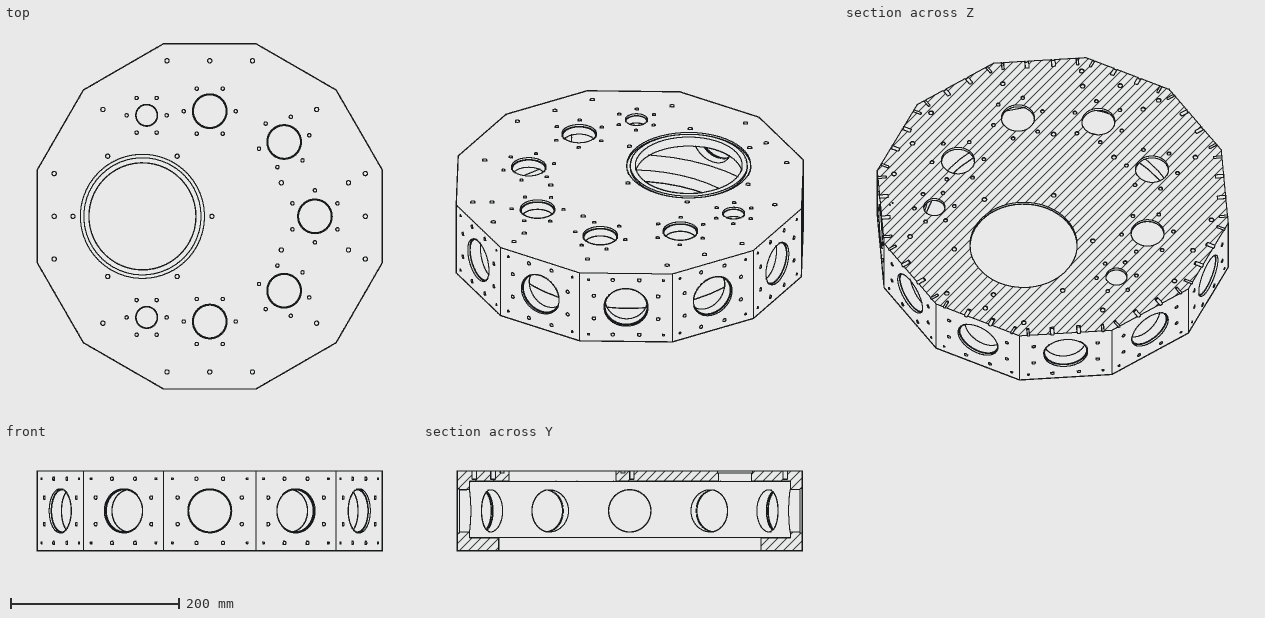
import cadquery as cq
import math

SIDES = 12
FLAT_TO_FLAT = 410.52
HEIGHT = 95.25
SIDE_PITCH = 360 / SIDES
APOTHEM = FLAT_TO_FLAT / 2
TOP_Z = HEIGHT / 2
BOTTOM_Z = -HEIGHT / 2

CAVITY_D = 381
LID = 12.7
FLOOR = 15.875
FLOOR_OPENING_D = 311.63

SCREW_DEPTH = 10
MOUTH_DEPTH = 2.7

WINDOW_D = 50.04
WINDOW_MOUTH_D = 52.32
WINDOW_HOLE_D = 4.04
WINDOW_HOLE_COUNT = 8
WINDOW_HOLE_CIRCLE_R = 41.28
CORNER_HOLE_D = 2.26
CORNER_HOLE_X = 44.45
CORNER_HOLE_Z = 38.1

PORT_ANGLES = (-90, -45, 0, 45, 90)
PORT_CENTER_R = 125
PORT_D = 38.86
PORT_MOUTH_D = 41.2
PORT_HOLE_CIRCLE_R = 30.9
SMALL_PORT_X = -75
SMALL_PORT_Y = 120.1
SMALL_PORT_D = 24.89
SMALL_PORT_MOUTH_D = 26.2
SMALL_PORT_HOLE_CIRCLE_R = 23.8
PORT_HOLE_D = 4.04
PORT_HOLE_COUNT = 6

MAIN_X = -80
MAIN_D = 127
GROOVE_INNER_D = 139.29
GROOVE_OUTER_D = 147.62
GROOVE_DEPTH = 2.54
MAIN_HOLE_CIRCLE_R = 82.55
MAIN_HOLE_COUNT = 6
MAIN_HOLE_D = 5

RIM_HOLE_D = 5.11
RIM_HOLE_OFFSET = 184.9
RIM_HOLE_SPACING = 50.8
RIM_DIAGONAL_R = 179.6
RIM_DIAGONAL_COUNT = 4
MOUNT_HALF_SPACING = 39.9


def ring_points(center_x, center_y, radius, count, start_angle):
    """Evenly spaced points on a circle."""
    points = []
    for index in range(count):
        angle = math.radians(start_angle + index * 360 / count)
        points.append((center_x + radius * math.cos(angle), center_y + radius * math.sin(angle)))
    return points


def corner_points(center_x, half_width, half_height):
    """Corners of a rectangle centred on the first axis."""
    points = []
    for side_x in (-1, 1):
        for side_y in (-1, 1):
            points.append((center_x + side_x * half_width, side_y * half_height))
    return points


def top_holes(points, diameter, depth):
    """Round holes going down from the top face."""
    plane = cq.Workplane("XY", origin=(0, 0, TOP_Z))
    return plane.pushPoints(points).circle(diameter / 2).extrude(-depth)


def stepped_bore(plane, bore_d, mouth_d, depth):
    """Bore along the inward normal of a plane, with a wider counterbore at its mouth."""
    bore = plane.circle(bore_d / 2).extrude(-depth)
    mouth = plane.circle(mouth_d / 2).extrude(-MOUTH_DEPTH)
    return bore.union(mouth)


def hollow_body():
    corner_to_corner = FLAT_TO_FLAT / math.cos(math.pi / SIDES)
    body_plane = cq.Workplane("XY", origin=(0, 0, BOTTOM_Z)).transformed(rotate=(0, 0, SIDE_PITCH / 2))
    body = body_plane.polygon(SIDES, corner_to_corner).extrude(HEIGHT)
    cavity_height = HEIGHT - LID - FLOOR
    cavity_plane = cq.Workplane("XY", origin=(0, 0, BOTTOM_Z + FLOOR))
    cavity = cavity_plane.circle(CAVITY_D / 2).extrude(cavity_height)
    opening_plane = cq.Workplane("XY", origin=(0, 0, BOTTOM_Z))
    opening = opening_plane.circle(FLOOR_OPENING_D / 2).extrude(FLOOR)
    return body.cut(cavity).cut(opening)


def side_cut(angle):
    """Window and screw holes of the side facing the given direction."""
    direction = math.radians(angle)
    normal = (math.cos(direction), math.sin(direction), 0)
    along = (-math.sin(direction), math.cos(direction), 0)
    origin = (APOTHEM * normal[0], APOTHEM * normal[1], 0)
    face = cq.Workplane(cq.Plane(origin=origin, xDir=along, normal=normal))
    screws = ring_points(0, 0, WINDOW_HOLE_CIRCLE_R, WINDOW_HOLE_COUNT, 180 / WINDOW_HOLE_COUNT)
    corners = corner_points(0, CORNER_HOLE_X, CORNER_HOLE_Z)
    window_depth = APOTHEM - FLOOR_OPENING_D / 2
    window = stepped_bore(face, WINDOW_D, WINDOW_MOUTH_D, window_depth)
    screw_holes = face.pushPoints(screws).circle(WINDOW_HOLE_D / 2).extrude(-SCREW_DEPTH)
    corner_holes = face.pushPoints(corners).circle(CORNER_HOLE_D / 2).extrude(-SCREW_DEPTH)
    return window.add(screw_holes).add(corner_holes).combine()


def port_cut(x, y, bore_d, mouth_d, circle_r, start_angle):
    """Lid port with its ring of screw holes."""
    plane = cq.Workplane("XY", origin=(x, y, TOP_Z))
    bore = stepped_bore(plane, bore_d, mouth_d, LID)
    points = ring_points(x, y, circle_r, PORT_HOLE_COUNT, start_angle)
    return bore.add(top_holes(points, PORT_HOLE_D, SCREW_DEPTH)).combine()


def large_port_cut(angle):
    x = PORT_CENTER_R * math.cos(math.radians(angle))
    y = PORT_CENTER_R * math.sin(math.radians(angle))
    first_hole = angle + 180 / PORT_HOLE_COUNT
    return port_cut(x, y, PORT_D, PORT_MOUTH_D, PORT_HOLE_CIRCLE_R, first_hole)


def small_port_cut(y):
    mouth_d = SMALL_PORT_MOUTH_D
    return port_cut(SMALL_PORT_X, y, SMALL_PORT_D, mouth_d, SMALL_PORT_HOLE_CIRCLE_R, 0)


def main_opening_cut():
    bore = top_holes([(MAIN_X, 0)], MAIN_D, LID)
    groove = top_holes([(MAIN_X, 0)], GROOVE_OUTER_D, GROOVE_DEPTH)
    groove = groove.cut(top_holes([(MAIN_X, 0)], GROOVE_INNER_D, GROOVE_DEPTH))
    points = ring_points(MAIN_X, 0, MAIN_HOLE_CIRCLE_R, MAIN_HOLE_COUNT, 0)
    return bore.add(groove).add(top_holes(points, MAIN_HOLE_D, SCREW_DEPTH)).combine()


def rim_hole_cut():
    points = ring_points(0, 0, RIM_DIAGONAL_R, RIM_DIAGONAL_COUNT, 180 / RIM_DIAGONAL_COUNT)
    for side in (-1, 1):
        for step in (-1, 0, 1):
            points.append((step * RIM_HOLE_SPACING, side * RIM_HOLE_OFFSET))
            points.append((side * RIM_HOLE_OFFSET, step * RIM_HOLE_SPACING))
    return top_holes(points, RIM_HOLE_D, SCREW_DEPTH)


def mount_hole_cut():
    """Square of four screw holes around the port on the +X axis."""
    points = corner_points(PORT_CENTER_R, MOUNT_HALF_SPACING, MOUNT_HALF_SPACING)
    return top_holes(points, RIM_HOLE_D, SCREW_DEPTH)


result = hollow_body()

for side_index in range(SIDES):
    result = result.cut(side_cut(side_index * SIDE_PITCH))

for port_angle in PORT_ANGLES:
    result = result.cut(large_port_cut(port_angle))

for small_port_y in (-SMALL_PORT_Y, SMALL_PORT_Y):
    result = result.cut(small_port_cut(small_port_y))

result = result.cut(main_opening_cut())
result = result.cut(rim_hole_cut())
result = result.cut(mount_hole_cut())